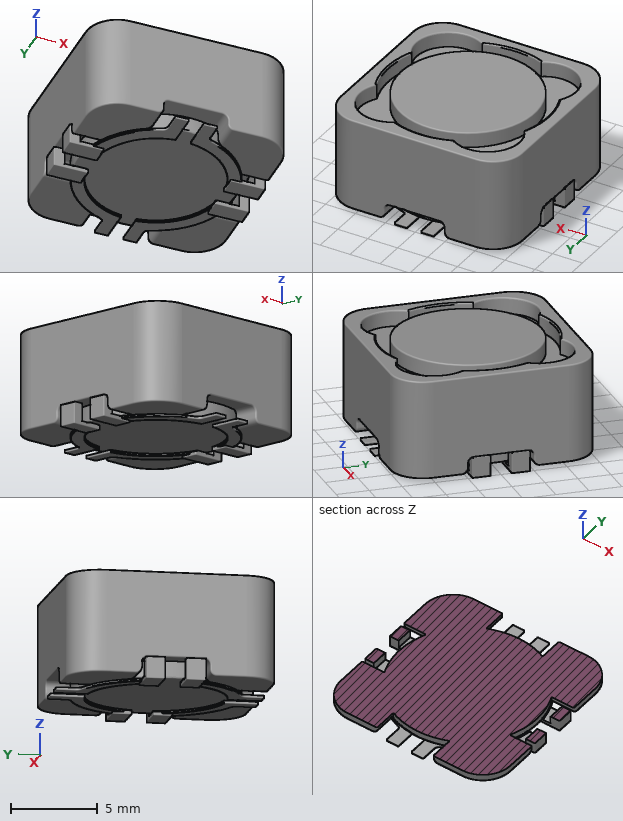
import cadquery as cq
import math


SIDE = 12.2
HEIGHT = 6.3
EDGE_ROUND = 0.1

SHIELD_BOTTOM = 0.29
CORNER_RADIUS = 1.99

POCKET_RADIUS = 5.32
LOBE_RADIUS = 2.14
LOBE_OFFSET = POCKET_RADIUS - LOBE_RADIUS
POCKET_DEPTH = 0.99

CORE_DISC_RADIUS = 4.49
CORE_BODY_RADIUS = 4.94

NOTCH_HALF_WIDTH = 2.0
NOTCH_TOP = 1.29
NOTCH_CORNER = 0.37

TERMINAL_INNER = 0.63
TERMINAL_WIDTH = 1.12
TERMINAL_TOP = 1.29
TERMINAL_LENGTH = 2.15
PLATE_THICKNESS = 0.66
FOOT_THICKNESS = 0.25
TERMINAL_ROUND = 0.05

LEAD_BOTTOM = 0.12
LEAD_INNER = 0.48
LEAD_WIDTH = 0.83
LEAD_BEND = 0.37
LEAD_ROUND = 0.04
LEAD_THICKNESS = SHIELD_BOTTOM - LEAD_BOTTOM

HALF = SIDE / 2


def in_four_quadrants(solid):
    """Union of a solid and its mirror images in the XZ and YZ planes."""
    pair = solid.union(solid.mirror("XZ"))
    return pair.union(pair.mirror("YZ"))


def cylinder(radius, bottom, height):
    return cq.Workplane("XY").workplane(offset=bottom).circle(radius).extrude(height)


def corner_box(x_range, y_range, z_range):
    """Box spanning the given (low, high) ranges."""
    sizes = [high - low for low, high in (x_range, y_range, z_range)]
    low_corner = (x_range[0], y_range[0], z_range[0])
    return cq.Workplane("XY").box(*sizes, centered=False).translate(low_corner)


def make_notch():
    """Tunnel along Y with rounded upper corners and a mouth that flares out at the bottom."""
    flare = NOTCH_HALF_WIDTH + NOTCH_CORNER
    shoulder = NOTCH_HALF_WIDTH - NOTCH_CORNER
    flare_top = SHIELD_BOTTOM + NOTCH_CORNER
    upper_start = NOTCH_TOP - NOTCH_CORNER
    return (
        cq.Workplane("XZ")
        .moveTo(-flare, SHIELD_BOTTOM)
        .radiusArc((-NOTCH_HALF_WIDTH, flare_top), -NOTCH_CORNER)
        .lineTo(-NOTCH_HALF_WIDTH, upper_start)
        .radiusArc((-shoulder, NOTCH_TOP), NOTCH_CORNER)
        .lineTo(shoulder, NOTCH_TOP)
        .radiusArc((NOTCH_HALF_WIDTH, upper_start), NOTCH_CORNER)
        .lineTo(NOTCH_HALF_WIDTH, flare_top)
        .radiusArc((flare, SHIELD_BOTTOM), -NOTCH_CORNER)
        .close()
        .extrude(HALF, both=True)
    )


def make_pocket():
    floor = HEIGHT - POCKET_DEPTH
    lobe = cylinder(LOBE_RADIUS, floor, POCKET_DEPTH).translate((LOBE_OFFSET, LOBE_OFFSET, 0))
    return cylinder(POCKET_RADIUS, floor, POCKET_DEPTH).union(in_four_quadrants(lobe))


def make_shield():
    """Block with rounded corners, a notch in each side, the top pocket and rounded rims."""
    block = (
        cq.Workplane("XY").workplane(offset=SHIELD_BOTTOM)
        .rect(SIDE, SIDE).extrude(HEIGHT - SHIELD_BOTTOM)
        .edges("|Z").fillet(CORNER_RADIUS)
    )
    notch = make_notch()
    block = block.cut(notch).cut(notch.rotate((0, 0, 0), (0, 0, 1), 90))
    block = block.cut(make_pocket()).faces(">Z").edges().fillet(EDGE_ROUND)
    arc_middle = HALF - CORNER_RADIUS * (1 - math.sqrt(0.5))
    lower_rim = block.edges(cq.selectors.NearestToPointSelector((arc_middle, arc_middle, SHIELD_BOTTOM)))
    return lower_rim.fillet(EDGE_ROUND)


def make_terminals():
    """L-shaped terminals: a thick upright plate with a thin foot pointing inwards."""
    y_range = (TERMINAL_INNER, TERMINAL_INNER + TERMINAL_WIDTH)
    plate = corner_box((HALF - PLATE_THICKNESS, HALF), y_range, (0, TERMINAL_TOP))
    foot = corner_box((HALF - TERMINAL_LENGTH, HALF), y_range, (0, FOOT_THICKNESS))
    terminal = plate.union(foot).faces(">X or <X or <Z").edges().fillet(TERMINAL_ROUND)
    return in_four_quadrants(terminal)


def make_leads():
    """Flat leads: an arc under the core from a terminal foot to a straight tab at the Y side."""
    z_range = (LEAD_BOTTOM, SHIELD_BOTTOM)
    arc = cylinder(CORE_BODY_RADIUS, LEAD_BOTTOM, LEAD_THICKNESS)
    arc = arc.cut(cylinder(CORE_BODY_RADIUS - LEAD_WIDTH, LEAD_BOTTOM, LEAD_THICKNESS))
    arc = arc.intersect(corner_box((LEAD_INNER, HALF), (TERMINAL_INNER, HALF), z_range))
    lead_outer = LEAD_INNER + LEAD_WIDTH
    tab_start = math.sqrt((CORE_BODY_RADIUS - LEAD_WIDTH / 2) ** 2 - lead_outer ** 2)
    tab = corner_box((LEAD_INNER, lead_outer), (tab_start, HALF), z_range)
    bend_y = math.sqrt(CORE_BODY_RADIUS ** 2 - lead_outer ** 2)
    lead = arc.union(tab)
    bend_point = (lead_outer, bend_y, LEAD_BOTTOM + LEAD_THICKNESS / 2)
    lead = lead.edges(cq.selectors.NearestToPointSelector(bend_point)).fillet(LEAD_BEND)
    lead = lead.faces(">Y or >Z or <Z").edges().fillet(LEAD_ROUND)
    return in_four_quadrants(lead)


def make_core():
    """Drum core: a wide body up to the pocket floor and a disc rising from it to the top."""
    floor = HEIGHT - POCKET_DEPTH
    body = cylinder(CORE_BODY_RADIUS, SHIELD_BOTTOM, floor - SHIELD_BOTTOM)
    body = body.faces("<Z").edges().fillet(EDGE_ROUND)
    disc = cylinder(CORE_DISC_RADIUS, floor, POCKET_DEPTH)
    return body.union(disc.faces(">Z").edges().fillet(EDGE_ROUND))


result = make_shield().union(make_core()).union(make_leads()).union(make_terminals())